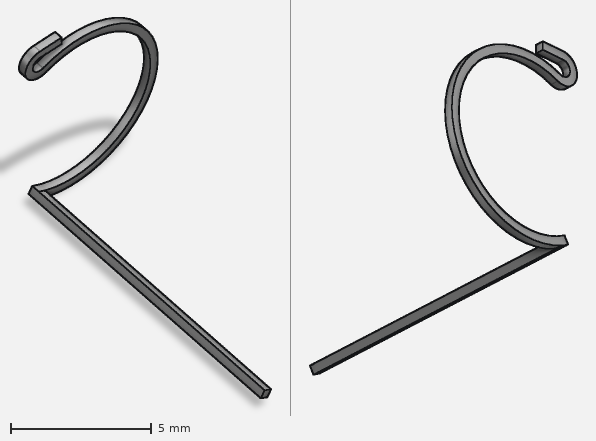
import cadquery as cq
import math

wire = 0.35
leg_length = 12.7
ring_outer_radius = 3.85
hook_outer_radius = 0.7
hook_offset_y = 1.68
hook_tail = 1.0
leg_angle = 240.0

ring_radius = ring_outer_radius - wire / 2
hook_radius = hook_outer_radius - wire / 2

centre_distance = ring_radius + hook_radius
hook_y = -hook_offset_y
hook_z = math.sqrt(centre_distance**2 - hook_offset_y**2)
junction_angle = math.degrees(math.atan2(hook_z, hook_y))


def polar(radius, angle, centre=(0.0, 0.0)):
    """Point in the YZ plane at an angle in degrees around a centre."""
    a = math.radians(angle)
    return (centre[0] + radius * math.cos(a), centre[1] + radius * math.sin(a))


def make_ring_and_hook():
    hook_centre = (hook_y, hook_z)
    ring_middle = (leg_angle - 360 + junction_angle) / 2
    hook_start = junction_angle + 180
    hook_end = 90
    hook_middle = (hook_start + hook_end) / 2
    ring_inner = ring_radius - wire / 2
    hook_inner = hook_radius - wire / 2
    tail_y = hook_y + hook_tail
    return (
        cq.Workplane("YZ")
        .moveTo(*polar(ring_outer_radius, leg_angle))
        .threePointArc(polar(ring_outer_radius, ring_middle), polar(ring_outer_radius, junction_angle))
        .threePointArc(polar(hook_inner, hook_middle, hook_centre), polar(hook_inner, hook_end, hook_centre))
        .lineTo(tail_y, hook_z + hook_inner)
        .lineTo(tail_y, hook_z + hook_outer_radius)
        .lineTo(hook_y, hook_z + hook_outer_radius)
        .threePointArc(
            polar(hook_outer_radius, hook_middle, hook_centre),
            polar(hook_outer_radius, hook_start, hook_centre),
        )
        .threePointArc(polar(ring_inner, ring_middle), polar(ring_inner, leg_angle))
        .close()
        .extrude(wire)
    )


def make_leg():
    section = cq.Workplane("YZ").center(ring_radius, wire / 2).rect(wire, wire)
    return section.extrude(leg_length).rotate((0, 0, 0), (1, 0, 0), leg_angle)


result = make_ring_and_hook().union(make_leg())